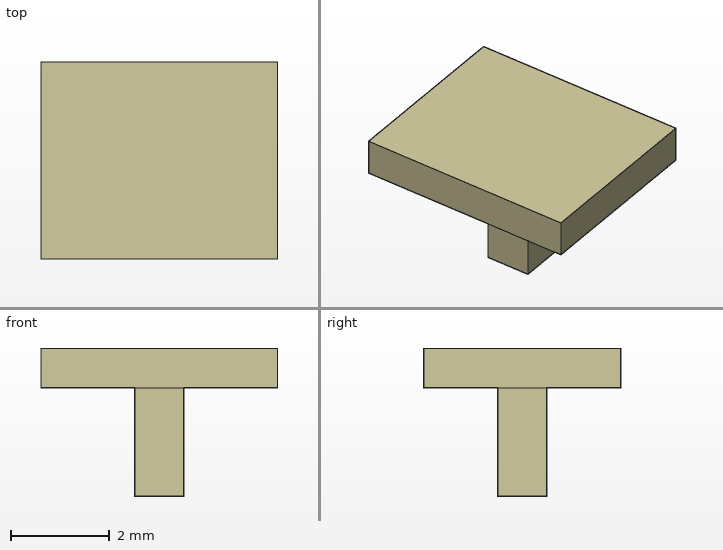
import cadquery as cq

plate_length = 4.8
plate_width = 4.0
total_height = 3.0

plate_thickness = 0.8
post_side = 1.0
post_length = total_height - plate_thickness

plate = cq.Workplane("XY").box(
    plate_length, plate_width, plate_thickness, centered=(True, True, False)
)

result = plate.faces("<Z").workplane().rect(post_side, post_side).extrude(post_length)